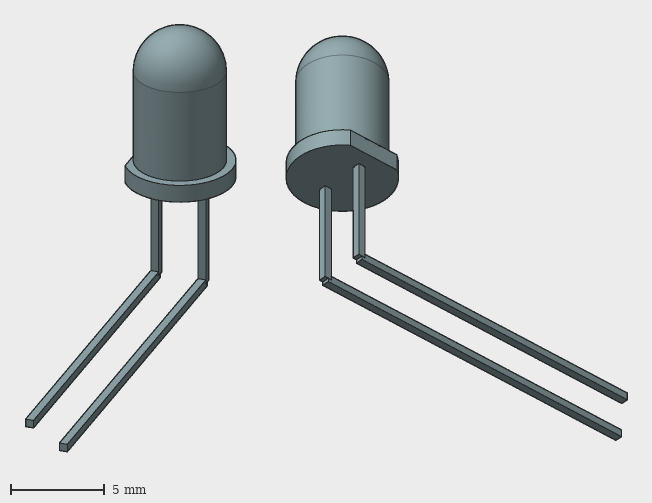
import cadquery as cq

lens_radius = 2.5
flange_radius = 3.0
flange_height = 1.0
dome_base_z = 6.3

wire = 0.45
lead_x = 1.35
bend_z = -6.0
long_tail = 21.0
short_tail = 19.0


def make_lens():
    """Domed lens with a flange whose -X side is cut flat, tangent to the lens."""
    profile = (
        cq.Workplane("XZ")
        .lineTo(flange_radius, 0)
        .lineTo(flange_radius, flange_height)
        .lineTo(lens_radius, flange_height)
        .lineTo(lens_radius, dome_base_z)
        .radiusArc((0, dome_base_z + lens_radius), -lens_radius)
        .close()
    )
    lens = profile.revolve(360, (0, 0, 0), (0, 1, 0))
    flat_cut = cq.Workplane("XY").box(
        flange_radius, 2 * flange_radius, flange_height, centered=(True, True, False)
    ).translate((-lens_radius - flange_radius / 2, 0, 0))
    return lens.cut(flat_cut)


def make_post(x):
    """Vertical lead section, from the flange down to the bend."""
    return (
        cq.Workplane("XY", origin=(x, 0, bend_z))
        .rect(wire, wire)
        .extrude(-bend_z)
    )


def make_tail(x, length, post):
    """Horizontal lead section along -Y, notched at its root to fit the post."""
    bar = (
        cq.Workplane("XZ", origin=(x, 0, bend_z))
        .rect(wire, wire)
        .extrude(length)
    )
    return bar.cut(post)


lens = make_lens()

posts = []
tails = []
for x, tail_length in ((-lead_x, short_tail), (lead_x, long_tail)):
    post = make_post(x)
    posts.append(post.val())
    tails.append(make_tail(x, tail_length, post).val())

result = cq.Compound.makeCompound([lens.val(), *posts, *tails])